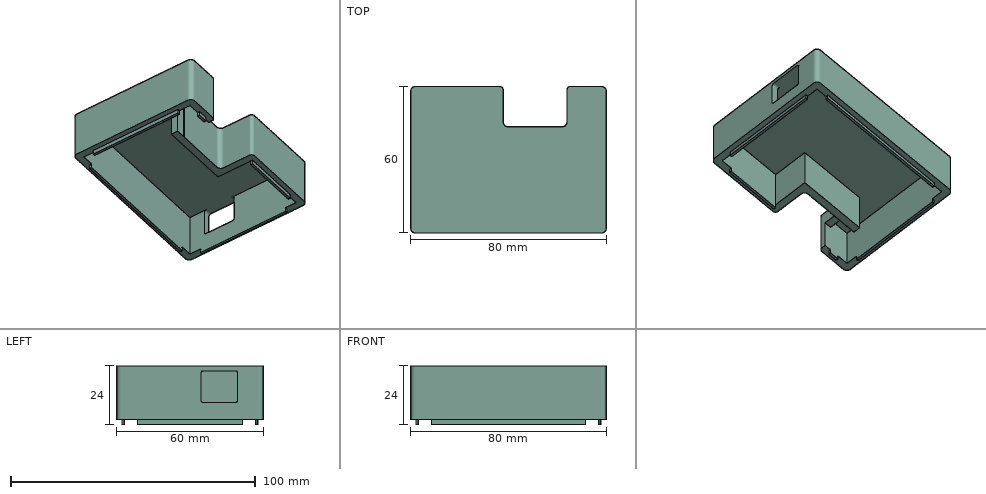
import cadquery as cq

length = 80.0
width = 60.0
body_height = 22.0
corner_radius = 2.0
wall = 3.2
roof = 2.0

notch_left = -2.1
notch_width = 26.0
notch_depth = 16.5
notch_inner_radius = 2.0
notch_outer_radius = 1.4

lip_height = 2.0
lip_thickness = 1.0
lip_end_gap = 8.5

window_width = 15.0
window_height = 13.0
window_center_y = -12.0
window_radius = 1.0

side_opening_top_gap = 7.0

ceiling = body_height - roof
notch_right = notch_left + notch_width
notch_floor = width / 2 - notch_depth
cavity_back = width / 2 - wall
cut_overlap = 1.0


def box_between(x_range, y_range, z_range):
    """Axis-aligned box spanning the given (low, high) ranges."""
    x_size = x_range[1] - x_range[0]
    y_size = y_range[1] - y_range[0]
    z_size = z_range[1] - z_range[0]
    corner = (x_range[0], y_range[0], z_range[0])
    return cq.Workplane("XY").box(x_size, y_size, z_size, centered=False).translate(corner)


def round_upright_edge(solid, x, y, radius):
    """Round the upright edge nearest to (x, y)."""
    nearest = cq.selectors.NearestToPointSelector((x, y, body_height / 2))
    return solid.edges("|Z").edges(nearest).fillet(radius)


def make_block():
    """Outer block with rounded corners and the rear notch."""
    block = cq.Workplane("XY").rect(length, width).extrude(body_height)
    block = block.edges("|Z").fillet(corner_radius)
    notch = box_between(
        (notch_left, notch_right),
        (notch_floor, width / 2 + cut_overlap),
        (-cut_overlap, body_height + cut_overlap),
    )
    block = block.cut(notch)
    for x in (notch_left, notch_right):
        block = round_upright_edge(block, x, notch_floor, notch_inner_radius)
        block = round_upright_edge(block, x, width / 2, notch_outer_radius)
    return block


def make_cavity():
    """Hollow inside, open at the bottom, leaving a wall around the notch."""
    cavity = box_between(
        (-length / 2 + wall, length / 2 - wall),
        (-cavity_back, cavity_back),
        (-cut_overlap, ceiling),
    )
    notch_wall = box_between(
        (notch_left - wall, notch_right + wall),
        (notch_floor - wall, width / 2),
        (-cut_overlap, ceiling),
    )
    return cavity.cut(notch_wall)


def make_window():
    """Rounded window through the left wall, level with the ceiling at its top."""
    center_z = ceiling - window_height / 2
    window = cq.Workplane("XY").box(wall + 2 * cut_overlap, window_width, window_height)
    window = window.edges("|X").fillet(window_radius)
    return window.translate((-length / 2 + wall / 2, window_center_y, center_z))


def make_side_opening():
    """Opening from the notch into the right arm of the cavity."""
    return box_between(
        (notch_right - cut_overlap, notch_right + wall + cut_overlap),
        (notch_floor, cavity_back),
        (-cut_overlap, body_height - side_opening_top_gap),
    )


def make_lips():
    """Strips flush with the inner wall faces, stopping short of the corners and the notch."""
    x_end = length / 2 - lip_end_gap
    y_end = width / 2 - lip_end_gap
    x_inner = length / 2 - wall
    z_range = (-lip_height, 0)
    y_range = (cavity_back, cavity_back + lip_thickness)
    rear_left = box_between((-x_end, notch_left - wall), y_range, z_range)
    rear_right = box_between((notch_right + wall, x_end), y_range, z_range)
    front = box_between((-x_end, x_end), y_range, z_range).mirror("XZ")
    left = box_between((-x_inner - lip_thickness, -x_inner), (-y_end, y_end), z_range)
    right = left.mirror("YZ")
    return [front, rear_left, rear_right, left, right]


result = make_block().cut(make_cavity()).cut(make_window()).cut(make_side_opening())
for lip in make_lips():
    result = result.union(lip)